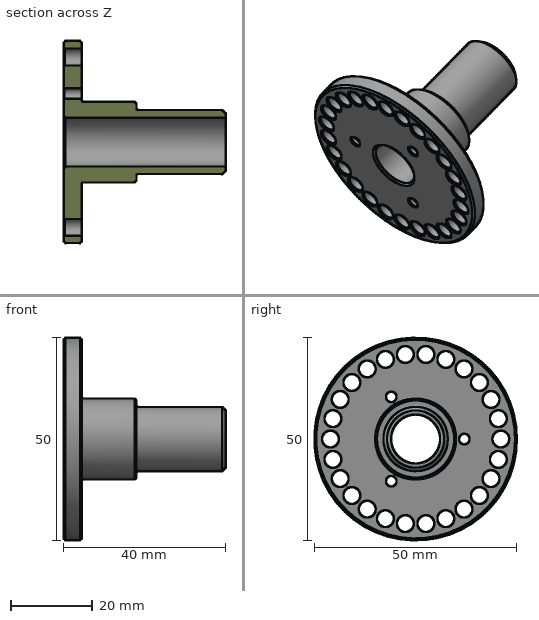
import cadquery as cq

flange_diameter = 50
flange_thickness = 4.5
hub_diameter = 20
hub_end = 18
shaft_diameter = 15.9
total_length = 40
bore_diameter = 12

edge_chamfer = 0.5
shaft_end_chamfer = 0.9
corner_fillet = 0.4
bore_chamfer = 0.5

rim_hole_count = 26
rim_hole_diameter = 4.1
rim_hole_circle_radius = 21
rim_hole_chamfer = 0.3
bolt_hole_count = 3
bolt_hole_diameter = 2.55
bolt_hole_circle_radius = 12
bolt_hole_chamfer = 0.25


def cylinder(diameter, start, end):
    """Solid cylinder on the X axis between two X positions."""
    return cq.Workplane("YZ", origin=(start, 0, 0)).circle(diameter / 2).extrude(end - start)


def circular_edges_at(body, x, diameter):
    """Circular edges around the X axis with the given position and diameter."""
    tolerance = 0.005
    radius = diameter / 2
    lower = (x - tolerance, -radius - tolerance, -radius - tolerance)
    upper = (x + tolerance, radius + tolerance, radius + tolerance)
    box = cq.selectors.BoxSelector(lower, upper, boundingbox=True)
    return body.edges(box).edges(cq.selectors.RadiusNthSelector(-1))


def stepped_body():
    """Flange, hub and shaft with chamfered rims and filleted inner corners."""
    flange = cylinder(flange_diameter, 0, flange_thickness).edges().chamfer(edge_chamfer)
    hub = cylinder(hub_diameter, flange_thickness, hub_end).edges(">X").chamfer(edge_chamfer)
    shaft = cylinder(shaft_diameter, hub_end, total_length).edges(">X").chamfer(shaft_end_chamfer)
    body = flange.union(hub).union(shaft)
    body = circular_edges_at(body, flange_thickness, hub_diameter).fillet(corner_fillet)
    return circular_edges_at(body, hub_end, shaft_diameter).fillet(corner_fillet)


def chamfered_cutter(diameter, length, chamfer):
    """Hole cutter along +X from X = 0, flared at its start."""
    radius = diameter / 2
    return (
        cq.Workplane("XY")
        .lineTo(0, radius + chamfer)
        .lineTo(chamfer, radius)
        .lineTo(length, radius)
        .lineTo(length, 0)
        .close()
        .revolve(360, (0, 0, 0), (1, 0, 0))
    )


def cut_hole_circle(body, count, circle_radius, diameter, chamfer):
    """Evenly spaced flange holes, the first one on +Y."""
    cutter = chamfered_cutter(diameter, flange_thickness, chamfer)
    cutter = cutter.translate((0, circle_radius, 0))
    for index in range(count):
        body = body.cut(cutter.rotate((0, 0, 0), (1, 0, 0), index * 360 / count))
    return body


result = stepped_body()
result = result.cut(chamfered_cutter(bore_diameter, total_length, bore_chamfer))
result = cut_hole_circle(
    result, rim_hole_count, rim_hole_circle_radius, rim_hole_diameter, rim_hole_chamfer
)
result = cut_hole_circle(
    result, bolt_hole_count, bolt_hole_circle_radius, bolt_hole_diameter, bolt_hole_chamfer
)